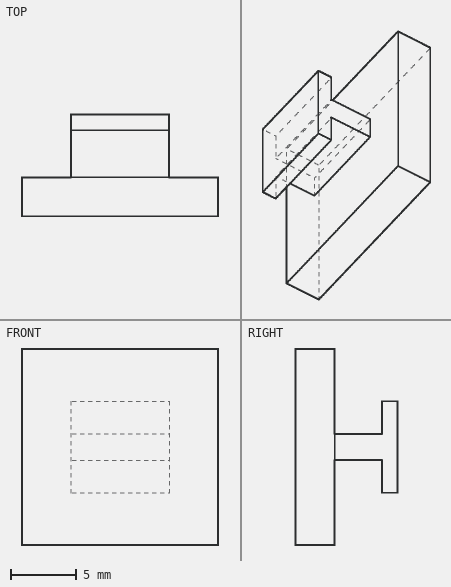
import cadquery as cq

plate_side = 15.0
plate_thickness = 3.0

total_depth = 7.8
rail_width = 7.5
flange_thickness = 1.2
flange_height = 7.0
web_height = 2.0
web_length = total_depth - plate_thickness - flange_thickness


def block(width, depth, height, front_y):
    """Box centred on X and Z, extending toward +Y from front_y."""
    return cq.Workplane("XY").box(width, depth, height).translate((0, front_y + depth / 2, 0))


plate = block(plate_side, plate_thickness, plate_side, 0)
web = block(rail_width, web_length, web_height, plate_thickness)
flange = block(rail_width, flange_thickness, flange_height, plate_thickness + web_length)

result = plate.union(web).union(flange)